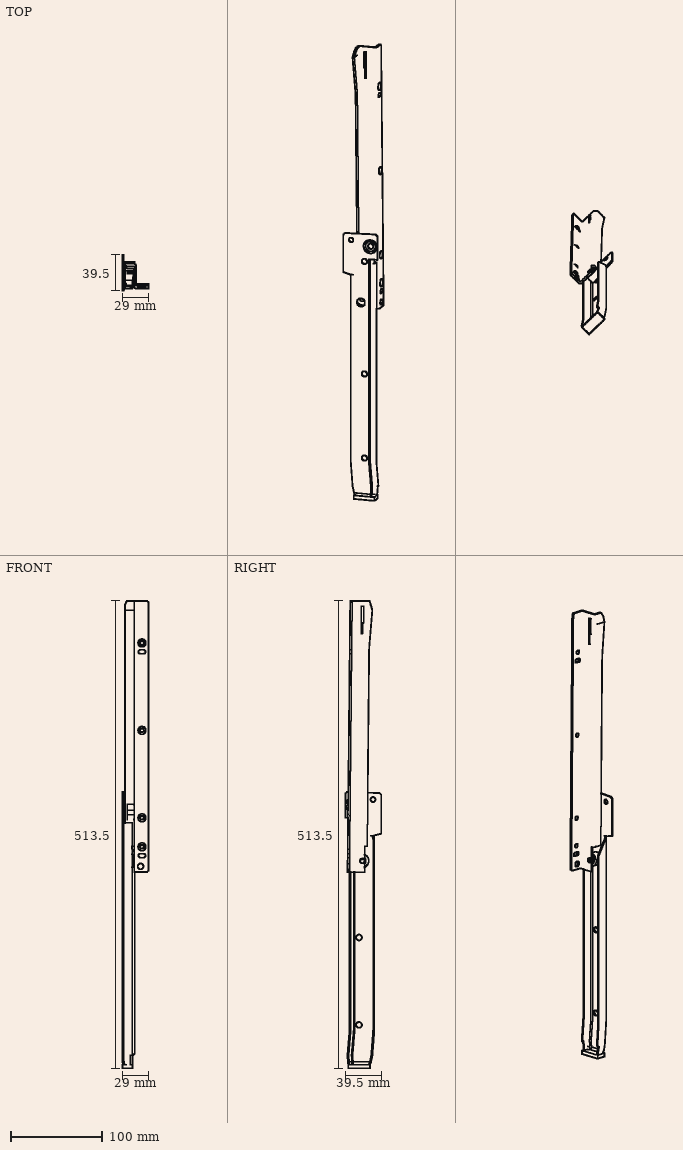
import cadquery as cq


LENGTH = 513.5
WIDTH = 29.0
PLATE_DEPTH = 39.5

DRAWER_SHEET = 1.5
DRAWER_TOP = 274.5
DRAWER_FRONT = 4.35
DRAWER_BACK = 32.0
FRONT_BEND = 1.8
BACK_BEND = 3.85
JOG_DEPTH = 1.5
JOG_RISE = 1.3
JOG_END = 3.85
FRONT_FLANGE_REACH = 11.0
BACK_FLANGE_REACH = 14.0
FRONT_FLANGE_TOP = 269.5
BACK_FLANGE_TOP = 236.0
CUP_REACH = 11.5
CUP_HEIGHT = 14.5
CUP_FLOOR = 4.0
CUP_FLOOR_FRONT = 3.0
CUP_FLOOR_BACK = 27.0
CUP_FRONT_REACH = 8.5
CUP_SLOPE_TOP = 7.0
CUP_SLOPE_DEPTH = 1.0
BACK_FLANGE_CORNER = 2.0
FLARE_START = 41.5
DRAWER_STATIONS = [
    (0.0, CUP_FLOOR_FRONT, CUP_FLOOR_BACK, CUP_SLOPE_DEPTH),
    (CUP_FLOOR, CUP_FLOOR_FRONT, CUP_FLOOR_BACK, CUP_SLOPE_DEPTH),
    (CUP_SLOPE_TOP, 2.5, 28.0, 0.0),
    (CUP_HEIGHT, 2.0, 30.0, 0.0),
    (FLARE_START, DRAWER_FRONT, DRAWER_BACK, 0.0),
    (DRAWER_TOP, DRAWER_FRONT, DRAWER_BACK, 0.0),
]

PLATE_FRONT_BOTTOM = 275.0
PLATE_BACK_BOTTOM = 257.5
PLATE_STEP = 255.5
PLATE_TOP = 304.0
PLATE_BACK_TOP = 302.5
PLATE_CORNER = 2.0
DIMPLE_Y = 8.0
DIMPLE_Z = 289.5
DIMPLE_RADIUS = 7.5
DIMPLE_FLOOR_RADIUS = 5.5
DIMPLE_DEPTH = 1.5
DIMPLE_HOLE_RADIUS = 3.0

DRAWER_HOLES = [
    (30.5, 295.0, 2.5),
    (15.0, 272.0, 3.0),
    (15.0, 143.5, 3.0),
    (15.0, 47.5, 3.0),
    (19.0, 225.0, 4.5),
]

CABINET_SHEET = 2.3
CABINET_BOTTOM = 215.5
CABINET_FRONT = 5.0
CABINET_BACK = 26.5
CABINET_BEND = 2.5
LEAN = 0.01
WEB_X = 13.0
LIP_X = 2.8
LIP_BOTTOM = 244.0
LIP_CORNER = 2.0
CABINET_STATIONS = [(CABINET_BOTTOM, 0.0), (461.5, 0.0), (503.0, 3.0), (LENGTH, 0.0)]
FLANGE_CORNER = 1.5

SCREW_PITCH = 96.0
TOP_SCREW_Z = 467.0
END_SCREW_Z = 243.5
SCREW_ZS = [TOP_SCREW_Z - i * SCREW_PITCH for i in range(3)] + [END_SCREW_Z]
SCREW_X = 21.5
SCREW_RADIUS = 2.0
SINK_RADIUS = 4.35
SLOT_DROP = 10.0
SLOT_LENGTH = 7.5
SLOT_WIDTH = 4.0
END_HOLE_X = 20.0
END_HOLE_Z = 222.0
END_HOLE_RADIUS = 3.0

KEY_Y = 17.5
KEY_WIDE = 2.5
KEY_NARROW = 1.3
KEY_TOP = 507.0
KEY_STEP = 489.0
KEY_BOTTOM = 477.5

BUMP_Z = 281.0
BUMP_HALF = 9.0
BUMP_TIP_HALF = 2.5
BUMP_HEIGHT = 3.5
BUMP_SHOULDER = 2.0
BUMP_SAG = 0.5
BUMP_LEFT = 5.5

ROLLER_Y = 18.5
ROLLER_Z = 228.0
ROLLER_RADIUS = 7.0
ROLLER_LEFT = 3.0
ROLLER_RIGHT = 12.0
ROLLER_HUB = 4.0
ROLLER_BORE = 2.5
ROLLER_ROUND = 1.0


def box(x0, x1, y0, y1, z0, z1):
    return cq.Workplane("XY").box(x1 - x0, y1 - y0, z1 - z0, centered=False).translate((x0, y0, z0))


def x_rod(y, z, radius, x0, x1):
    return cq.Workplane("YZ", origin=(x0, y, z)).circle(radius).extrude(x1 - x0)


def corner_cutter(x, z, x_step, z_step):
    """Triangular prism along Y that cuts a corner at (x, z)."""
    return (
        cq.Workplane("XZ", origin=(0, PLATE_DEPTH, 0))
        .polyline([(x, z), (x + x_step, z), (x, z + z_step)])
        .close()
        .extrude(PLATE_DEPTH)
    )


def drawer_outline(z, front, back, left):
    """Closed outline around the channel, running on past the open side."""
    jog_x = left + JOG_DEPTH
    jog_y = front + JOG_END
    return (
        cq.Workplane("XY", origin=(0, 0, z))
        .moveTo(WIDTH, front)
        .lineTo(jog_x + FRONT_BEND, front)
        .radiusArc((jog_x, front + FRONT_BEND), FRONT_BEND)
        .lineTo(jog_x, jog_y)
        .lineTo(left, jog_y + JOG_RISE)
        .lineTo(left, back - BACK_BEND)
        .radiusArc((left + BACK_BEND, back), BACK_BEND)
        .lineTo(WIDTH, back)
        .close()
        .wire()
        .val()
    )


def drawer_channel():
    outer_wires = [drawer_outline(*station) for station in DRAWER_STATIONS]
    inner_wires = [wire.offset2D(-DRAWER_SHEET, "intersection")[0] for wire in outer_wires]
    outer = cq.Workplane(cq.Solid.makeLoft(outer_wires, True))
    inner = cq.Workplane(cq.Solid.makeLoft(inner_wires, True))
    cup_floor = box(0, CUP_REACH, CUP_FLOOR_FRONT, CUP_FLOOR_BACK, 0, CUP_FLOOR)
    channel = outer.cut(inner).union(cup_floor)

    middle = (DRAWER_FRONT + DRAWER_BACK) / 2
    channel = channel.cut(box(CUP_REACH, WIDTH, 0, PLATE_DEPTH, 0, CUP_HEIGHT))
    channel = channel.cut(box(CUP_FRONT_REACH, WIDTH, 0, middle, CUP_FLOOR, CUP_HEIGHT))
    channel = channel.cut(box(FRONT_FLANGE_REACH, WIDTH, 0, middle, CUP_HEIGHT, DRAWER_TOP))
    channel = channel.cut(box(BACK_FLANGE_REACH, WIDTH, middle, PLATE_DEPTH, CUP_HEIGHT, DRAWER_TOP))
    front_inner = DRAWER_FRONT + JOG_END
    channel = channel.cut(box(JOG_DEPTH + DRAWER_SHEET, WIDTH, 0, front_inner, FRONT_FLANGE_TOP, DRAWER_TOP))
    flange_corner = corner_cutter(BACK_FLANGE_REACH, CUP_HEIGHT, -BACK_FLANGE_CORNER, BACK_FLANGE_CORNER)
    return channel.cut(flange_corner).cut(back_flange_trim())


def back_flange_trim():
    """Clears the back bend beside the plate and slopes the top of the back flange."""
    return (
        cq.Workplane("XZ", origin=(0, PLATE_DEPTH, 0))
        .polyline(
            [
                (0, PLATE_TOP),
                (0, PLATE_STEP),
                (DRAWER_SHEET, PLATE_STEP),
                (BACK_FLANGE_REACH, BACK_FLANGE_TOP),
                (WIDTH, BACK_FLANGE_TOP),
                (WIDTH, PLATE_TOP),
            ]
        )
        .close()
        .extrude(PLATE_DEPTH - (DRAWER_BACK - BACK_BEND))
    )


def mounting_plate():
    neck_y = DRAWER_FRONT + JOG_END + JOG_RISE
    return (
        cq.Workplane("YZ")
        .polyline(
            [
                (0, PLATE_FRONT_BOTTOM),
                (0, PLATE_TOP - PLATE_CORNER),
                (PLATE_CORNER, PLATE_TOP),
                (PLATE_DEPTH - PLATE_CORNER, PLATE_BACK_TOP),
                (PLATE_DEPTH, PLATE_BACK_TOP - PLATE_CORNER),
                (PLATE_DEPTH, PLATE_BACK_BOTTOM),
                (DRAWER_BACK, PLATE_STEP),
                (neck_y, PLATE_STEP),
                (neck_y, PLATE_FRONT_BOTTOM),
            ]
        )
        .close()
        .extrude(DRAWER_SHEET)
    )


def dimple(inset):
    """Cone frustum sunk from x = inset into the mounting plate."""
    return (
        cq.Workplane("YZ", origin=(inset, DIMPLE_Y, DIMPLE_Z))
        .circle(DIMPLE_RADIUS)
        .workplane(offset=DIMPLE_DEPTH)
        .circle(DIMPLE_FLOOR_RADIUS)
        .loft()
    )


def make_drawer_member():
    body = drawer_channel().union(mounting_plate())
    body = body.union(dimple(DRAWER_SHEET)).cut(dimple(0))
    dimple_hole = (DIMPLE_Y, DIMPLE_Z, DIMPLE_HOLE_RADIUS)
    for y, z, radius in DRAWER_HOLES + [dimple_hole]:
        body = body.cut(x_rod(y, z, radius, -DRAWER_SHEET, FRONT_FLANGE_REACH))
    return body


def lean(z):
    """Shift of the cabinet member along Y at height z."""
    return LEAN * (z - LENGTH)


def cabinet_section(z, flare):
    """Z section: back lip towards -X, web, and screw flange towards +X."""
    front = CABINET_FRONT + lean(z)
    back = CABINET_BACK + lean(z) + flare
    outer = CABINET_BEND
    inner = CABINET_BEND - CABINET_SHEET
    web_right = WEB_X + CABINET_SHEET
    flange_top = front + CABINET_SHEET
    lip_inside = back - CABINET_SHEET
    return (
        cq.Workplane("XY", origin=(0, 0, z))
        .moveTo(WIDTH, front)
        .lineTo(WEB_X + outer, front)
        .radiusArc((WEB_X, front + outer), outer)
        .lineTo(WEB_X, lip_inside - inner)
        .radiusArc((WEB_X - inner, lip_inside), -inner)
        .lineTo(LIP_X, lip_inside)
        .lineTo(LIP_X, back)
        .lineTo(web_right - outer, back)
        .radiusArc((web_right, back - outer), outer)
        .lineTo(web_right, flange_top + inner)
        .radiusArc((web_right + inner, flange_top), -inner)
        .lineTo(WIDTH, flange_top)
        .close()
        .wire()
        .val()
    )


def screw_hole(z):
    """Countersunk hole whose cone opens at the -Y face of the flange."""
    front = CABINET_FRONT + lean(z)
    hole = cq.Workplane("XZ", origin=(SCREW_X, 0, z)).circle(SCREW_RADIUS).extrude(-CABINET_BACK / 2)
    sink = (
        cq.Workplane("XZ", origin=(SCREW_X, front, z))
        .circle(SINK_RADIUS)
        .workplane(offset=-CABINET_SHEET)
        .circle(SCREW_RADIUS)
        .loft()
    )
    sink_mouth = cq.Workplane("XZ", origin=(SCREW_X, front, z)).circle(SINK_RADIUS).extrude(SINK_RADIUS)
    return hole.union(sink).union(sink_mouth)


def flange_slot(z):
    return (
        cq.Workplane("XZ", origin=(SCREW_X, 0, z)).slot2D(SLOT_LENGTH, SLOT_WIDTH).extrude(-CABINET_BACK / 2)
    )


def key_slot():
    wide = box(LIP_X, WIDTH, KEY_Y, KEY_Y + KEY_WIDE, KEY_STEP, KEY_TOP)
    narrow = box(LIP_X, WIDTH, KEY_Y, KEY_Y + KEY_NARROW, KEY_BOTTOM, KEY_STEP)
    return wide.union(narrow)


def stop_bump():
    base_y = CABINET_BACK + lean(BUMP_Z) - CABINET_SHEET / 2
    face_y = base_y - CABINET_SHEET / 2
    tip_y = face_y - BUMP_HEIGHT
    shoulder_y = face_y - BUMP_SHOULDER
    sag_y = face_y - BUMP_SAG
    sag_half = (BUMP_HALF + BUMP_TIP_HALF) / 2
    return (
        cq.Workplane("YZ", origin=(BUMP_LEFT, 0, BUMP_Z))
        .moveTo(base_y, -BUMP_HALF)
        .lineTo(face_y, -BUMP_HALF)
        .threePointArc((sag_y, -sag_half), (shoulder_y, -BUMP_TIP_HALF))
        .threePointArc((tip_y, 0), (shoulder_y, BUMP_TIP_HALF))
        .threePointArc((sag_y, sag_half), (face_y, BUMP_HALF))
        .lineTo(base_y, BUMP_HALF)
        .close()
        .extrude(WEB_X - BUMP_LEFT)
    )


def make_cabinet_member():
    sections = [cabinet_section(*station) for station in CABINET_STATIONS]
    body = cq.Workplane(cq.Solid.makeLoft(sections, True))
    lip_y = CABINET_BACK + lean(CABINET_BOTTOM) - CABINET_BEND
    body = body.cut(box(0, WIDTH, lip_y, PLATE_DEPTH, CABINET_BOTTOM, LIP_BOTTOM))
    body = body.cut(corner_cutter(LIP_X, LENGTH, LIP_CORNER, -2 * LIP_CORNER))
    body = body.cut(corner_cutter(WIDTH, LENGTH, -FLANGE_CORNER, -FLANGE_CORNER))
    body = body.cut(corner_cutter(WIDTH, CABINET_BOTTOM, -FLANGE_CORNER, FLANGE_CORNER))
    for z in SCREW_ZS:
        body = body.cut(screw_hole(z))
    for z in (TOP_SCREW_Z, END_SCREW_Z):
        body = body.cut(flange_slot(z - SLOT_DROP))
    end_hole = cq.Workplane("XZ", origin=(END_HOLE_X, 0, END_HOLE_Z)).circle(END_HOLE_RADIUS)
    body = body.cut(end_hole.extrude(-CABINET_BACK / 2))
    body = body.cut(key_slot())
    body = body.cut(x_rod(ROLLER_Y, ROLLER_Z, ROLLER_BORE, 0, WIDTH))
    return body.union(stop_bump())


def make_roller():
    """Wheel with a hub that rests against the cabinet web."""
    wheel = x_rod(ROLLER_Y, ROLLER_Z, ROLLER_RADIUS, ROLLER_LEFT, ROLLER_RIGHT)
    wheel = wheel.faces("<X").edges().fillet(ROLLER_ROUND)
    hub = x_rod(ROLLER_Y, ROLLER_Z, ROLLER_HUB, ROLLER_LEFT, WEB_X)
    return wheel.union(hub).cut(x_rod(ROLLER_Y, ROLLER_Z, ROLLER_BORE, 0, WIDTH))


drawer_member = make_drawer_member()
cabinet_member = make_cabinet_member()
roller = make_roller()

bodies = [drawer_member, cabinet_member, roller]
result = cq.Compound.makeCompound([body.solids().val() for body in bodies])